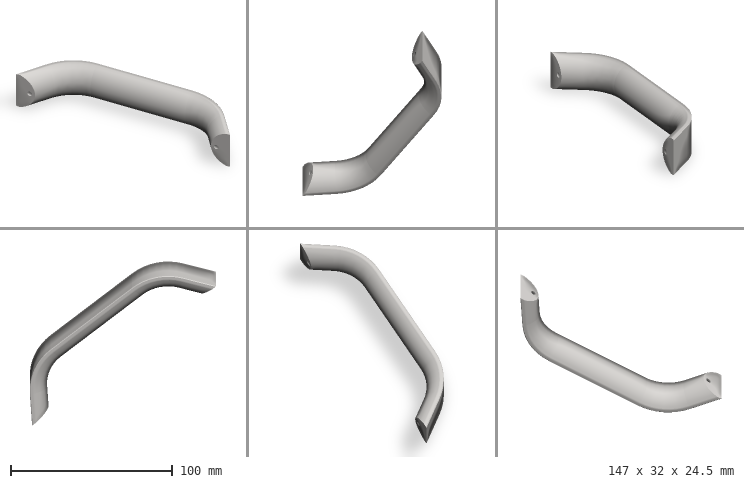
import cadquery as cq
import math

length = 147.0
rise = 32.0
width = 24.5

section_depth = 10.7
side_depth = 1.9
blend_radius = 2.2
edge_chamfer = 0.5

leg_angle = 54.5
bend_radius = 35.3

hole_diameter = 3.2
hole_inset = 9.5
hole_depth = 6.6
drill_point_angle = 118.0

angle = math.radians(leg_angle)
bend_run = bend_radius * math.sin(angle)
bend_drop = bend_radius * (1 - math.cos(angle))
leg_rise = rise - bend_drop
leg_run = leg_rise / math.tan(angle)
half_length = length / 2
half_straight = half_length - leg_run - bend_run
bend_center_y = rise - bend_radius

half_width = width / 2
crown_depth = section_depth - side_depth
blend_center_width = half_width - blend_radius
crown_radius = (crown_depth**2 + blend_center_width**2 - blend_radius**2) / (2 * (crown_depth - blend_radius))
blend_angle = math.asin((crown_radius - crown_depth) / (crown_radius - blend_radius))
crown_start_depth = side_depth + blend_radius * math.sin(blend_angle)
crown_half_width = blend_center_width + blend_radius * math.cos(blend_angle)
blend_mid_depth = side_depth + blend_radius * math.sin(blend_angle / 2)
blend_mid_width = blend_center_width + blend_radius * math.cos(blend_angle / 2)

tail_drop = section_depth / math.tan(angle)
tail_x = half_length + tail_drop / math.tan(angle)


def back_path():
    """Flat run with a bend and a sloping leg at each end."""
    tangent_x = half_straight + bend_run
    mid_x = half_straight + bend_radius * math.sin(angle / 2)
    mid_y = bend_center_y + bend_radius * math.cos(angle / 2)
    return (
        cq.Workplane("XY")
        .moveTo(-tail_x, -tail_drop)
        .lineTo(-tangent_x, leg_rise)
        .threePointArc((-mid_x, mid_y), (-half_straight, rise))
        .lineTo(half_straight, rise)
        .threePointArc((mid_x, mid_y), (tangent_x, leg_rise))
        .lineTo(tail_x, -tail_drop)
    )


def grip_bar():
    """Sweep the D-shaped section along the path and cut the feet flat."""
    section_plane = cq.Plane(
        origin=(-tail_x, -tail_drop, 0),
        xDir=(math.sin(angle), -math.cos(angle), 0),
        normal=(math.cos(angle), math.sin(angle), 0),
    )
    bar = (
        cq.Workplane(section_plane)
        .moveTo(0, -half_width + edge_chamfer)
        .lineTo(edge_chamfer, -half_width)
        .lineTo(side_depth, -half_width)
        .threePointArc((blend_mid_depth, -blend_mid_width), (crown_start_depth, -crown_half_width))
        .threePointArc((section_depth, 0), (crown_start_depth, crown_half_width))
        .threePointArc((blend_mid_depth, blend_mid_width), (side_depth, half_width))
        .lineTo(edge_chamfer, half_width)
        .lineTo(0, half_width - edge_chamfer)
        .close()
        .sweep(back_path())
    )
    foot_trim = cq.Workplane("XY").box(2 * length, 2 * rise, 2 * width).translate((0, -rise, 0))
    return bar.cut(foot_trim)


def mounting_hole(x):
    """Blind drilled hole with a conical end, entering the foot at Y = 0."""
    radius = hole_diameter / 2
    point_depth = radius / math.tan(math.radians(drill_point_angle / 2))
    return (
        cq.Workplane("XY")
        .polyline([(0, 0), (radius, 0), (radius, hole_depth), (0, hole_depth + point_depth)])
        .close()
        .revolve(360, (0, 0, 0), (0, 1, 0))
        .translate((x, 0, 0))
    )


result = grip_bar()
for side in (-1, 1):
    result = result.cut(mounting_hole(side * (half_length - hole_inset)))